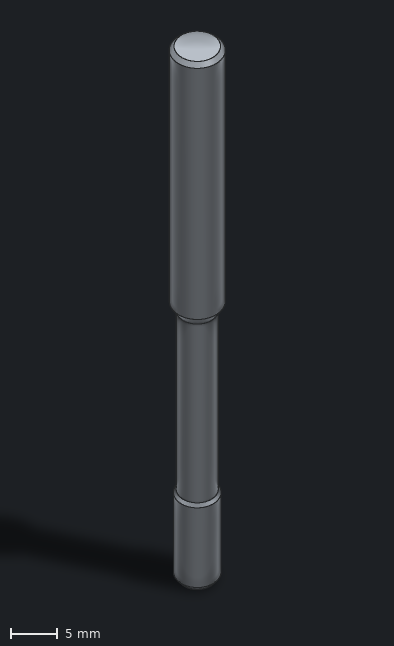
import cadquery as cq
import math

total_length = 75.0
shank_length = 36.0
tip_length = 12.45

shank_radius = 3.0
neck_radius = 2.25
tip_radius = 2.55

shank_chamfer = 0.5
tip_end_inset = 0.5
tip_end_height = 0.75
taper_angle = math.radians(30)

shank_bottom = total_length - shank_length
shank_taper_height = (shank_radius - neck_radius) / math.tan(taper_angle)
tip_shoulder_height = 0.45

profile = [
    (0, 0),
    (tip_radius - tip_end_inset, 0),
    (tip_radius, tip_end_height),
    (tip_radius, tip_length - tip_shoulder_height),
    (neck_radius, tip_length),
    (neck_radius, shank_bottom - shank_taper_height),
    (shank_radius, shank_bottom),
    (shank_radius, total_length - shank_chamfer),
    (shank_radius - shank_chamfer, total_length),
    (0, total_length),
]

result = cq.Workplane("XZ").polyline(profile).close().revolve(360, (0, 0, 0), (0, 1, 0))